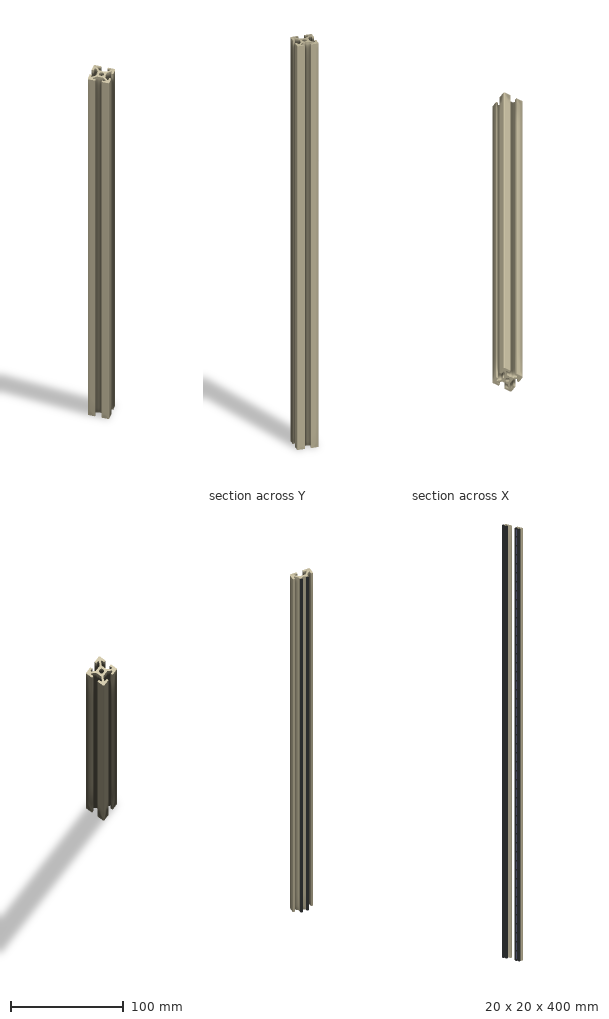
import cadquery as cq
import math

length = 400.0
width = 20.0
slot_mouth = 6.0
lip_thickness = 2.0
core_width = 8.5
web_thickness = 1.8
bore_diameter = 4.5
cavity_width = 11.5
groove_width = 1.0
groove_depth = 0.5
corner_radius = 1.0

half_width = width / 2
half_mouth = slot_mouth / 2
half_core = core_width / 2
half_cavity = cavity_width / 2
half_groove = groove_width / 2
lip_inner = half_width - lip_thickness
web_offset = web_thickness / math.sqrt(2)


def make_slot(angle):
    """Return a full-length T-slot cutter with a V-groove in its floor, opening toward +Y, turned about Z."""
    right_side = [
        (half_mouth, half_width),
        (half_mouth, lip_inner),
        (half_cavity, lip_inner),
        (half_cavity, half_cavity + web_offset),
        (half_core - web_offset, half_core),
        (half_groove, half_core),
    ]
    left_side = [(-x, y) for x, y in reversed(right_side)]
    groove_bottom = [(0, half_core - groove_depth)]
    outline = right_side + groove_bottom + left_side
    cutter = cq.Workplane("XY").polyline(outline).close().extrude(length)
    return cutter.rotate((0, 0, 0), (0, 0, 1), angle)


result = cq.Workplane("XY").rect(width, width).extrude(length).edges("|Z").fillet(corner_radius)
for angle in (0, 90, 180, 270):
    result = result.cut(make_slot(angle))

bore = cq.Workplane("XY").circle(bore_diameter / 2).extrude(length)
result = result.cut(bore)